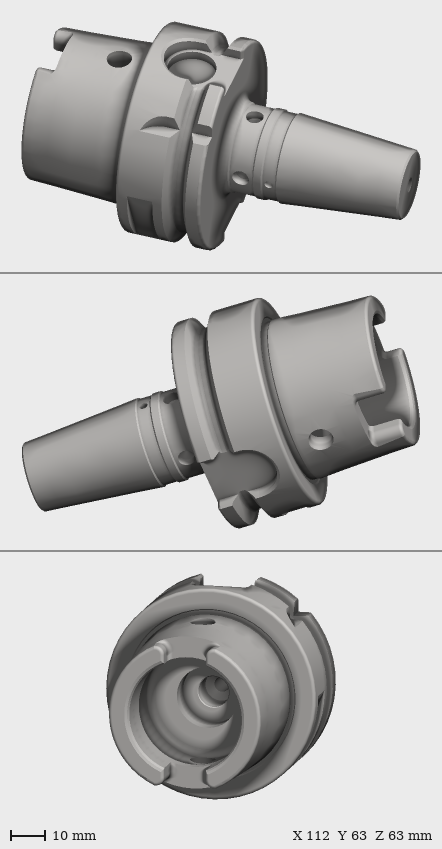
import cadquery as cq
import math

LENGTH = 112.0

SHANK_LENGTH = 32.0
SHANK_END_RADIUS = 22.7
TAPER_SLOPE = 0.05
SHANK_EDGE_ROUND = 1.0
RELIEF_START = 30.2
RELIEF_RADIUS = 24.0
RELIEF_DEPTH = 0.3
RELIEF_FACE_RADIUS = 25.5

FLANGE_RADIUS = 31.5
FLANGE_END = 58.0
FLANGE_ROUND = 1.0
GROOVE_CENTER = 50.0
GROOVE_RADIUS = 27.5
GROOVE_HALF_BOTTOM = 1.3
GROOVE_ROUND = 1.1
GROOVE_FLANK_ANGLE = 60.0

NOSE_RADIUS = 13.5
NOSE_FILLET = 2.6
RING_START = 68.4
RING_END = 70.7
NOSE_TAPER_START = 75.5
NECK_DEPTH = 0.5
TIP_RADIUS = 10.5
TIP_CHAMFER = 0.6

MOUTH_RADIUS = 18.0
MOUTH_STEP_RADIUS = 17.2
MOUTH_STEP_DEPTH = 0.3
MOUTH_DEPTH = 1.2
BORE_RADIUS = 16.8
UNDERCUT_START = 12.9
UNDERCUT_RADIUS = 17.7
BORE_DEPTH = 28.0
BORE_FLOOR_ROUND = 2.0
TUBE_BORE_RADIUS = 9.1
TUBE_BORE_DEPTH = 35.8
DRILL_RADIUS = 4.6
DRILL_CHAMFER = 0.2
DRILL_DEPTH = 44.8
DRILL_TIP_HALF_ANGLE = 59.0
COOLANT_RADIUS = 2.2

SHANK_SLOT_HALF_WIDTH = 6.3
SHANK_SLOT_SHOULDER = 20.8
SHANK_SLOT_CORNER = 2.5
SHANK_SLOT_FLOOR_ROUND = 1.3
UPPER_SHANK_SLOT_DEPTH = 5.8
LOWER_SHANK_SLOT_DEPTH = 9.9

ACCESS_HOLE_X = 22.7
ACCESS_HOLE_RADIUS = 3.7
SCREW_HOLE_X = 64.4
SCREW_HOLE_RADIUS = 2.6
SCREW_HOLE_DEPTH = 3.4
VENT_HOLE_X = 73.0
VENT_HOLE_RADIUS = 1.2

SLOT_X = 45.0
SLOT_RADIUS = 8.2
SLOT_FLOOR = 26.5
SLOT_CHAMFER = 0.8
CHIP_RADIUS = 7.2
CHIP_DEPTH = 2.8
NOTCH_X = 44.1
NOTCH_RADIUS = 8.2
NOTCH_FLOOR = 20.2
NOTCH_WALL = 20.0
FLAT_START = 35.6
FLAT_END = 43.5
FLAT_DISTANCE = 29.0
FLAT_ANGLE = 22.0


def revolve(profile):
    return profile.close().revolve(360, (0, 0, 0), (1, 0, 0))


def make_shank():
    root_radius = SHANK_END_RADIUS + TAPER_SLOPE * RELIEF_START
    shank = revolve(
        cq.Workplane("XY")
        .lineTo(0, SHANK_END_RADIUS)
        .lineTo(RELIEF_START, root_radius)
        .lineTo(RELIEF_START + RELIEF_DEPTH, RELIEF_RADIUS)
        .lineTo(SHANK_LENGTH + RELIEF_DEPTH, RELIEF_RADIUS)
        .lineTo(SHANK_LENGTH + RELIEF_DEPTH, 0)
    )
    shank = shank.cut(shank_slot(UPPER_SHANK_SLOT_DEPTH))
    lower_slot = shank_slot(LOWER_SHANK_SLOT_DEPTH).rotate((0, 0, 0), (1, 0, 0), 180)
    shank = shank.cut(lower_slot)
    return shank.faces("<X").edges().fillet(SHANK_EDGE_ROUND)


def shank_slot(depth):
    """Cutter that narrows from the full width to the slot over rounded shoulders."""
    width = 2 * FLANGE_RADIUS
    wide_height = FLANGE_RADIUS - SHANK_SLOT_SHOULDER
    wide = (
        cq.Workplane("XY")
        .box(depth, width, wide_height, centered=(False, True, False))
        .translate((0, 0, SHANK_SLOT_SHOULDER))
    )
    narrow = cq.Workplane("XY").box(
        depth, 2 * SHANK_SLOT_HALF_WIDTH, SHANK_SLOT_SHOULDER, centered=(False, True, False)
    )
    cutter = wide.union(narrow)
    for side in (-1, 1):
        shoulder = (depth / 2, side * SHANK_SLOT_HALF_WIDTH, SHANK_SLOT_SHOULDER)
        cutter = cutter.edges(cq.NearestToPointSelector(shoulder)).fillet(SHANK_SLOT_CORNER)
    return cutter.faces(">X").edges().fillet(SHANK_SLOT_FLOOR_ROUND)


def make_flange():
    flange = revolve(
        cq.Workplane("XY")
        .moveTo(SHANK_LENGTH + RELIEF_DEPTH, 0)
        .lineTo(SHANK_LENGTH + RELIEF_DEPTH, RELIEF_FACE_RADIUS - RELIEF_DEPTH)
        .lineTo(SHANK_LENGTH, RELIEF_FACE_RADIUS)
        .lineTo(SHANK_LENGTH, FLANGE_RADIUS - FLANGE_ROUND)
        .radiusArc((SHANK_LENGTH + FLANGE_ROUND, FLANGE_RADIUS), FLANGE_ROUND)
        .lineTo(FLANGE_END - FLANGE_ROUND, FLANGE_RADIUS)
        .radiusArc((FLANGE_END, FLANGE_RADIUS - FLANGE_ROUND), FLANGE_ROUND)
        .lineTo(FLANGE_END, 0)
    )
    for turn, side in ((0, 1), (180, -1)):
        flange = flange.cut(flange_slot().rotate((0, 0, 0), (1, 0, 0), turn))
        flange = flange.edges(slot_rims(side)).chamfer(SLOT_CHAMFER)
    flange = flange.cut(gripper_groove())
    flange = flange.cut(chip_pocket())
    flange = flange.cut(orientation_notch())
    return flange.cut(side_flat())


def flange_slot():
    """Radial slot cutter with a round end, open toward +X."""
    end = cq.Workplane("XY", origin=(SLOT_X, 0, SLOT_FLOOR)).circle(SLOT_RADIUS).extrude(FLANGE_RADIUS)
    run = (
        cq.Workplane("XY", origin=(SLOT_X, 0, SLOT_FLOOR))
        .box(FLANGE_END, 2 * SLOT_RADIUS, FLANGE_RADIUS, centered=(False, True, False))
    )
    return end.union(run)


def slot_rims(side):
    """Select the edges where the walls of the upper or lower slot meet the outside of the flange."""
    lowest_rim = math.sqrt(FLANGE_RADIUS**2 - SLOT_RADIUS**2)
    box_bottom = (lowest_rim + FLANGE_RADIUS - FLANGE_ROUND) / 2
    return cq.selectors.BoxSelector(
        (SLOT_X - SLOT_RADIUS, -FLANGE_RADIUS / 2, side * box_bottom),
        (FLANGE_END - FLANGE_ROUND, FLANGE_RADIUS / 2, side * FLANGE_RADIUS),
    )


def gripper_groove():
    flank = (FLANGE_RADIUS - GROOVE_RADIUS) / math.tan(math.radians(GROOVE_FLANK_ANGLE))
    half_top = GROOVE_HALF_BOTTOM + flank
    clear_radius = 2 * FLANGE_RADIUS - GROOVE_RADIUS
    groove = revolve(
        cq.Workplane("XY")
        .moveTo(GROOVE_CENTER - GROOVE_HALF_BOTTOM, GROOVE_RADIUS)
        .lineTo(GROOVE_CENTER - half_top, FLANGE_RADIUS)
        .lineTo(GROOVE_CENTER - half_top, clear_radius)
        .lineTo(GROOVE_CENTER + half_top, clear_radius)
        .lineTo(GROOVE_CENTER + half_top, FLANGE_RADIUS)
        .lineTo(GROOVE_CENTER + GROOVE_HALF_BOTTOM, GROOVE_RADIUS)
    )
    bottom_edges = cq.selectors.RadiusNthSelector(0)
    return groove.edges(bottom_edges).fillet(GROOVE_ROUND)


def chip_pocket():
    floor = SLOT_FLOOR - CHIP_DEPTH
    return cq.Workplane("XY", origin=(SLOT_X, 0, floor)).circle(CHIP_RADIUS).extrude(FLANGE_RADIUS)


def orientation_notch():
    run = (
        cq.Workplane("XY", origin=(NOTCH_X, -NOTCH_WALL, NOTCH_FLOOR))
        .rect(FLANGE_END, -2 * NOTCH_RADIUS, centered=False)
        .extrude(FLANGE_RADIUS)
    )
    end = (
        cq.Workplane("XY", origin=(NOTCH_X, -NOTCH_WALL - NOTCH_RADIUS, NOTCH_FLOOR))
        .circle(NOTCH_RADIUS)
        .extrude(FLANGE_RADIUS)
    )
    return run.union(end)


def side_flat():
    flat = (
        cq.Workplane("XY")
        .box(FLAT_END - FLAT_START, FLANGE_RADIUS, 2 * FLANGE_RADIUS, centered=(False, False, True))
        .translate((FLAT_START, -FLAT_DISTANCE - FLANGE_RADIUS, 0))
    )
    return flat.rotate((0, 0, 0), (1, 0, 0), FLAT_ANGLE)


def make_nose():
    nose = revolve(
        cq.Workplane("XY")
        .moveTo(FLANGE_END, 0)
        .lineTo(FLANGE_END, NOSE_RADIUS + NOSE_FILLET)
        .radiusArc((FLANGE_END + NOSE_FILLET, NOSE_RADIUS), -NOSE_FILLET)
        .lineTo(NOSE_TAPER_START, NOSE_RADIUS)
        .lineTo(LENGTH - TIP_CHAMFER, TIP_RADIUS)
        .lineTo(LENGTH, TIP_RADIUS - TIP_CHAMFER)
        .lineTo(LENGTH, 0)
    )
    nose = nose.cut(neck_groove(FLANGE_END + NOSE_FILLET, RING_START))
    return nose.cut(neck_groove(RING_END, NOSE_TAPER_START))


def neck_groove(start, end):
    """Shallow groove around the nose with 45 degree walls."""
    floor_radius = NOSE_RADIUS - NECK_DEPTH
    return revolve(
        cq.Workplane("XY")
        .moveTo(start, NOSE_RADIUS)
        .lineTo(start + NECK_DEPTH, floor_radius)
        .lineTo(end - NECK_DEPTH, floor_radius)
        .lineTo(end, NOSE_RADIUS)
        .lineTo(end, NOSE_RADIUS + NECK_DEPTH)
        .lineTo(start, NOSE_RADIUS + NECK_DEPTH)
    )


def axial_bore():
    drill_tip = (DRILL_RADIUS - COOLANT_RADIUS) / math.tan(math.radians(DRILL_TIP_HALF_ANGLE))
    return revolve(
        cq.Workplane("XY")
        .lineTo(0, MOUTH_RADIUS)
        .lineTo(MOUTH_STEP_DEPTH, MOUTH_STEP_RADIUS)
        .lineTo(MOUTH_DEPTH, BORE_RADIUS)
        .lineTo(UNDERCUT_START, BORE_RADIUS)
        .lineTo(UNDERCUT_START, UNDERCUT_RADIUS)
        .lineTo(BORE_DEPTH - BORE_FLOOR_ROUND, UNDERCUT_RADIUS)
        .radiusArc((BORE_DEPTH, UNDERCUT_RADIUS - BORE_FLOOR_ROUND), BORE_FLOOR_ROUND)
        .lineTo(BORE_DEPTH, TUBE_BORE_RADIUS)
        .lineTo(TUBE_BORE_DEPTH, TUBE_BORE_RADIUS)
        .lineTo(TUBE_BORE_DEPTH, DRILL_RADIUS + DRILL_CHAMFER)
        .lineTo(TUBE_BORE_DEPTH + DRILL_CHAMFER, DRILL_RADIUS)
        .lineTo(DRILL_DEPTH, DRILL_RADIUS)
        .lineTo(DRILL_DEPTH + drill_tip, COOLANT_RADIUS)
        .lineTo(LENGTH, COOLANT_RADIUS)
        .lineTo(LENGTH, 0)
    )


def screw_hole():
    """Radial blind hole from the top of the nose, with a drill-point bottom."""
    floor = NOSE_RADIUS - SCREW_HOLE_DEPTH
    point = floor - SCREW_HOLE_RADIUS / math.tan(math.radians(DRILL_TIP_HALF_ANGLE))
    return (
        cq.Workplane("XZ", origin=(SCREW_HOLE_X, 0, 0))
        .moveTo(0, point)
        .lineTo(SCREW_HOLE_RADIUS, floor)
        .lineTo(SCREW_HOLE_RADIUS, FLANGE_RADIUS)
        .lineTo(0, FLANGE_RADIUS)
        .close()
        .revolve(360, (0, 0, 0), (0, 1, 0))
    )


def cross_hole(plane, x, radius):
    return cq.Workplane(plane, origin=(x, 0, 0)).circle(radius).extrude(FLANGE_RADIUS, both=True)


result = make_shank().union(make_flange()).union(make_nose())
result = result.cut(axial_bore())
result = result.cut(cross_hole("XY", ACCESS_HOLE_X, ACCESS_HOLE_RADIUS))
result = result.cut(cross_hole("XZ", VENT_HOLE_X, VENT_HOLE_RADIUS))
for quarter in range(4):
    result = result.cut(screw_hole().rotate((0, 0, 0), (1, 0, 0), 90 * quarter))